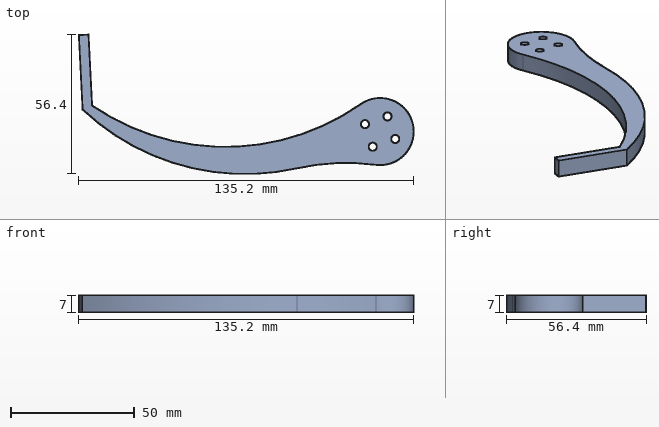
import math

import cadquery as cq

thickness = 7.0

head_radius = 13.6
hole_diameter = 3.2
hole_circle_radius = 6.8
hole_count = 4
first_hole_angle = 64.0

inner_radius = 95.0
outer_radius = 95.5
flare_radius = 91.5

head_to_inner_angle = 125.1
head_to_flare_angle = 262.5
flare_to_outer_angle = 102.6

finger_tip_x = -121.64
finger_tip_y = 38.98
finger_width = 4.0
finger_lean = 2.9


def polar(origin, radius, angle):
    """Point at a distance and direction (degrees from +X) from an origin."""
    x = origin[0] + radius * math.cos(math.radians(angle))
    y = origin[1] + radius * math.sin(math.radians(angle))
    return (x, y)


def direction(origin, point):
    """Direction in degrees, 0 to 360, from an origin to a point."""
    return math.degrees(math.atan2(point[1] - origin[1], point[0] - origin[0])) % 360


def line_exit(start, angle, center, radius):
    """Point where a line that starts inside a circle leaves it."""
    step_x, step_y = polar((0, 0), 1, angle)
    offset_x = start[0] - center[0]
    offset_y = start[1] - center[1]
    along = offset_x * step_x + offset_y * step_y
    across = offset_x * step_y - offset_y * step_x
    distance = math.sqrt(radius**2 - across**2) - along
    return polar(start, distance, angle)


def arc_middle(center, radius, start, end):
    """Point halfway along the arc, for arcs that do not cross the +X direction."""
    return polar(center, radius, (direction(center, start) + direction(center, end)) / 2)


def make_hook():
    """Solid plate: a thin finger, a curved arm and a round head, with tangent arcs."""
    head_center = (0, 0)
    inner_center = polar(head_center, head_radius + inner_radius, head_to_inner_angle)
    flare_center = polar(head_center, head_radius + flare_radius, head_to_flare_angle)
    outer_center = polar(flare_center, flare_radius + outer_radius, flare_to_outer_angle)

    finger_down = 270 + finger_lean
    outer_tip = (finger_tip_x, finger_tip_y)
    inner_tip = polar(outer_tip, finger_width, finger_lean)
    outer_root = line_exit(outer_tip, finger_down, outer_center, outer_radius)
    inner_root = line_exit(inner_tip, finger_down, inner_center, inner_radius)

    outer_to_flare = polar(flare_center, flare_radius, flare_to_outer_angle)
    flare_to_head = polar(head_center, head_radius, head_to_flare_angle)
    head_to_inner = polar(head_center, head_radius, head_to_inner_angle)
    head_far_side = polar(head_center, head_radius, 0)

    return (
        cq.Workplane("XY")
        .moveTo(*outer_tip)
        .lineTo(*outer_root)
        .threePointArc(arc_middle(outer_center, outer_radius, outer_root, outer_to_flare), outer_to_flare)
        .threePointArc(arc_middle(flare_center, flare_radius, outer_to_flare, flare_to_head), flare_to_head)
        .threePointArc(head_far_side, head_to_inner)
        .threePointArc(arc_middle(inner_center, inner_radius, head_to_inner, inner_root), inner_root)
        .lineTo(*inner_tip)
        .close()
        .extrude(thickness)
    )


def make_holes():
    """Through holes spread evenly on a circle around the head centre."""
    return (
        cq.Workplane("XY")
        .polarArray(hole_circle_radius, first_hole_angle, 360, hole_count)
        .circle(hole_diameter / 2)
        .extrude(thickness)
    )


result = make_hook().cut(make_holes())